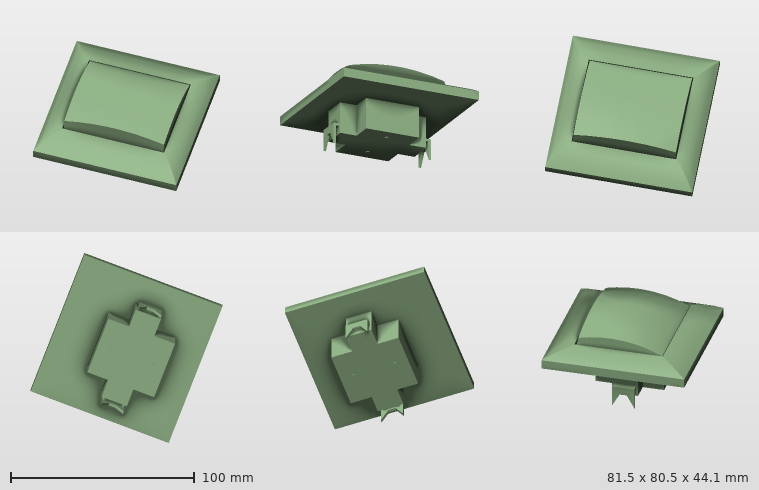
import cadquery as cq


FRAME_LENGTH_X = 81.5
FRAME_LENGTH_Y = 80.5
FRAME_EDGE_HEIGHT = 5.1
FRAME_TOP = 10.9
DOME_MID_HEIGHT_X = 9.05
DOME_MID_HEIGHT_Y = 8.8
OPENING_LENGTH_X = 58.0
OPENING_LENGTH_Y = 50.0

ROCKER_WIDTH = 56.8
ROCKER_FRONT_FOOT_Y = -OPENING_LENGTH_Y / 2
ROCKER_FRONT_Y = -22.8
ROCKER_BACK_Y = 24.6
ROCKER_BACK_HEIGHT = 10.7
ROCKER_MID_Y = 0.8
SIDE_MID_HEIGHT = 17.0
SIDE_FRONT_HEIGHT = 15.0
CREST_MID_HEIGHT = 19.15
CREST_FRONT_HEIGHT = 18.9

BODY_CENTER_Y = 2.8
BODY_HEIGHT = 17.85
CORE_LENGTH_X = 31.95
CORE_LENGTH_Y = 38.9
WING_LENGTH_X = 51.9
WING_LENGTH_Y = 14.75

PIN_DIAMETER = 2.5
PIN_HEIGHT = 0.3
PIN_OFFSET_Y = 11.9

CLAW_THICKNESS = 1.5
CLAW_OUTER_X = 29.4
CLAW_WIDTH = 12.8
CLAW_TOP = -12.0
CLAW_BOTTOM = -24.1
NOTCH_TOP = -16.5
NOTCH_TOP_WIDTH = 4.0


def domed_bar(plane, outer_half, opening_half, mid_height, length):
    """Bar along the plane normal, with a flat top and a convex slope on both sides."""
    mid = (opening_half + outer_half) / 2
    return (
        cq.Workplane(plane)
        .moveTo(-outer_half, FRAME_EDGE_HEIGHT)
        .threePointArc((-mid, mid_height), (-opening_half, FRAME_TOP))
        .lineTo(opening_half, FRAME_TOP)
        .threePointArc((mid, mid_height), (outer_half, FRAME_EDGE_HEIGHT))
        .close()
        .extrude(length / 2, both=True)
    )


def make_frame():
    """Flat-edged plate under a mitred dome, with a recess for the rocker."""
    plate = cq.Workplane("XY").box(
        FRAME_LENGTH_X, FRAME_LENGTH_Y, FRAME_EDGE_HEIGHT, centered=(True, True, False)
    )
    slopes_x = domed_bar(
        "XZ", FRAME_LENGTH_X / 2, OPENING_LENGTH_X / 2, DOME_MID_HEIGHT_X, FRAME_LENGTH_Y
    )
    slopes_y = domed_bar(
        "YZ", FRAME_LENGTH_Y / 2, OPENING_LENGTH_Y / 2, DOME_MID_HEIGHT_Y, FRAME_LENGTH_X
    )
    dome = slopes_x.intersect(slopes_y)
    opening = (
        cq.Workplane("XY", origin=(0, 0, FRAME_EDGE_HEIGHT))
        .rect(OPENING_LENGTH_X, OPENING_LENGTH_Y)
        .extrude(FRAME_TOP - FRAME_EDGE_HEIGHT)
    )
    return plate.union(dome.cut(opening))


def rocker_section(x, mid_height, front_height):
    """Closed rocker outline in the YZ plane at the given x."""
    return (
        cq.Workplane("YZ", origin=(x, 0, 0))
        .moveTo(ROCKER_FRONT_FOOT_Y, FRAME_EDGE_HEIGHT)
        .lineTo(ROCKER_BACK_Y, FRAME_EDGE_HEIGHT)
        .lineTo(ROCKER_BACK_Y, ROCKER_BACK_HEIGHT)
        .threePointArc((ROCKER_MID_Y, mid_height), (ROCKER_FRONT_Y, front_height))
        .close()
        .val()
    )


def make_rocker():
    """Smooth loft from one side over the higher middle section to the other side."""
    half = ROCKER_WIDTH / 2
    sections = [
        rocker_section(-half, SIDE_MID_HEIGHT, SIDE_FRONT_HEIGHT),
        rocker_section(0, CREST_MID_HEIGHT, CREST_FRONT_HEIGHT),
        rocker_section(half, SIDE_MID_HEIGHT, SIDE_FRONT_HEIGHT),
    ]
    return cq.Workplane(cq.Solid.makeLoft(sections))


def make_body():
    """Cross-shaped body hanging below the frame, with two short pins underneath."""
    top = cq.Workplane("XY", origin=(0, BODY_CENTER_Y, 0))
    core = top.rect(CORE_LENGTH_X, CORE_LENGTH_Y).extrude(-BODY_HEIGHT)
    wings = top.rect(WING_LENGTH_X, WING_LENGTH_Y).extrude(-BODY_HEIGHT)
    pins = (
        top.pushPoints([(0, -PIN_OFFSET_Y), (0, PIN_OFFSET_Y)])
        .circle(PIN_DIAMETER / 2)
        .extrude(-BODY_HEIGHT - PIN_HEIGHT)
    )
    return core.union(wings).union(pins)


def make_claw(side):
    """L-shaped claw with a notched blade; side is -1 or +1 along X."""
    blade_inner_x = CLAW_OUTER_X - CLAW_THICKNESS
    blade = (
        cq.Workplane("YZ", origin=(side * blade_inner_x, BODY_CENTER_Y, 0))
        .moveTo(-CLAW_WIDTH / 2, CLAW_TOP)
        .lineTo(-CLAW_WIDTH / 2, CLAW_BOTTOM)
        .lineTo(-NOTCH_TOP_WIDTH / 2, NOTCH_TOP)
        .lineTo(NOTCH_TOP_WIDTH / 2, NOTCH_TOP)
        .lineTo(CLAW_WIDTH / 2, CLAW_BOTTOM)
        .lineTo(CLAW_WIDTH / 2, CLAW_TOP)
        .close()
        .extrude(side * CLAW_THICKNESS)
    )
    wing_face_x = WING_LENGTH_X / 2
    arm_center_x = side * (wing_face_x + CLAW_OUTER_X) / 2
    arm = (
        cq.Workplane("XY", origin=(arm_center_x, BODY_CENTER_Y, CLAW_TOP))
        .rect(CLAW_OUTER_X - wing_face_x, CLAW_WIDTH)
        .extrude(-CLAW_THICKNESS)
    )
    return blade.union(arm)


result = make_frame().union(make_rocker()).union(make_body())
for claw_side in (-1, 1):
    result = result.union(make_claw(claw_side))